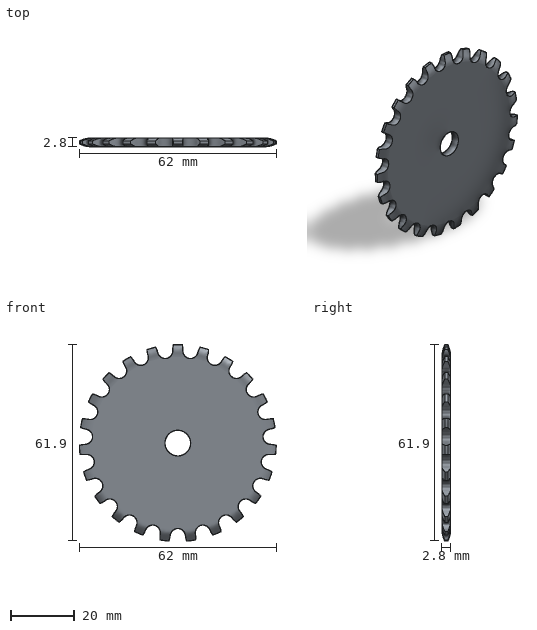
import cadquery as cq
import math

tooth_count = 23
thickness = 2.8
tip_radius = 31.0
root_radius = 26.9
bore_diameter = 8.0

tip_thickness = 0.9
flat_face_radius = 27.1

seat_radius = 2.35
seat_end_tilt = math.radians(6)
flank_radius = 6.8
gap_overrun = 0.6

tooth_pitch = 360 / tooth_count


def rim_arc_middle():
    """Middle point of the rim arc, which leaves the flat face tangentially."""
    rise = tip_radius - flat_face_radius
    drop = (thickness - tip_thickness) / 2
    arc_radius = (rise**2 + drop**2) / (2 * drop)
    half_sweep = math.asin(rise / arc_radius) / 2
    return (
        flat_face_radius + arc_radius * math.sin(half_sweep),
        thickness / 2 - arc_radius * (1 - math.cos(half_sweep)),
    )


def make_blank():
    """Disc whose rim narrows from the flat faces to the tip along tangent arcs."""
    half_body = thickness / 2
    half_tip = tip_thickness / 2
    arc_middle_radius, arc_middle_offset = rim_arc_middle()
    section = (
        cq.Workplane("XY")
        .moveTo(0, -half_body)
        .lineTo(flat_face_radius, -half_body)
        .threePointArc((arc_middle_radius, -arc_middle_offset), (tip_radius, -half_tip))
        .lineTo(tip_radius, half_tip)
        .threePointArc((arc_middle_radius, arc_middle_offset), (flat_face_radius, half_body))
        .lineTo(0, half_body)
        .close()
    )
    return section.revolve(360, (0, 0, 0), (0, 1, 0))


def make_gap_cutter():
    """Prism of one tooth gap, opening towards +Z."""
    seat_centre = root_radius + seat_radius
    seat_end_x = seat_radius * math.cos(seat_end_tilt)
    seat_end_z = seat_centre - seat_radius * math.sin(seat_end_tilt)

    flank_centre_x = seat_end_x + flank_radius * math.cos(seat_end_tilt)
    flank_centre_z = seat_end_z - flank_radius * math.sin(seat_end_tilt)
    outer_z = tip_radius + gap_overrun
    outer_tilt = math.asin((outer_z - flank_centre_z) / flank_radius)

    def flank_point(tilt):
        return (
            flank_centre_x - flank_radius * math.cos(tilt),
            flank_centre_z + flank_radius * math.sin(tilt),
        )

    middle_x, middle_z = flank_point((seat_end_tilt + outer_tilt) / 2)
    outer_x, _ = flank_point(outer_tilt)
    return (
        cq.Workplane("XZ", origin=(0, -thickness / 2, 0))
        .moveTo(-outer_x, outer_z)
        .threePointArc((-middle_x, middle_z), (-seat_end_x, seat_end_z))
        .threePointArc((0, root_radius), (seat_end_x, seat_end_z))
        .threePointArc((middle_x, middle_z), (outer_x, outer_z))
        .close()
        .extrude(-thickness)
    )


wheel = make_blank()

gap_cutter = make_gap_cutter()
for gap in range(tooth_count):
    gap_angle = (gap + 0.5) * tooth_pitch
    wheel = wheel.cut(gap_cutter.rotate((0, 0, 0), (0, 1, 0), gap_angle))

bore = (
    cq.Workplane("XZ", origin=(0, -thickness / 2, 0))
    .circle(bore_diameter / 2)
    .extrude(-thickness)
)
result = wheel.cut(bore)